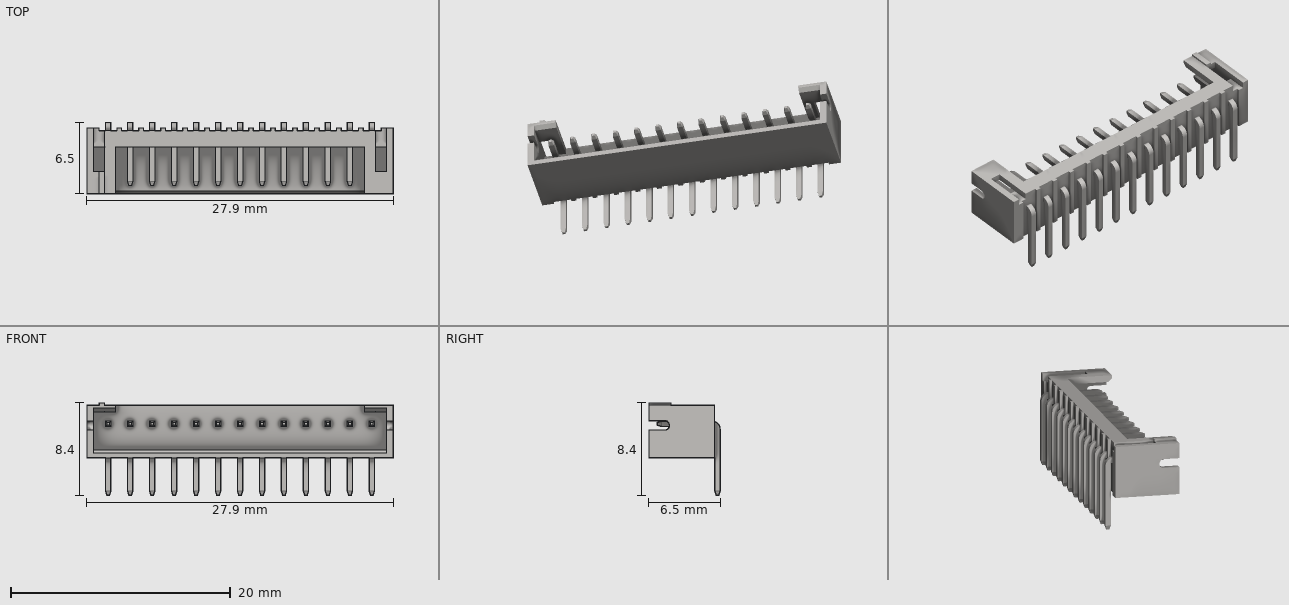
import cadquery as cq


LENGTH = 27.9
DEPTH = 6.0
HEIGHT = 4.8
END_WALL = 0.6
TOP_WALL = 0.6
BOTTOM_WALL = 0.7
BACK_WALL = 1.75
MOUTH_CHAMFER_TOP = 0.33
MOUTH_CHAMFER_BOTTOM = 0.25

WINDOW_MARGIN = 2.62

TOP_SLOT_WIDTH = 1.0
TOP_SLOT_FRONT = 2.05

RIB_WIDTH = 0.5
RIB_HEIGHT = 0.2

NOTCH_HEIGHT = 0.85
NOTCH_DEPTH = 1.87
NOTCH_TOP_DROP = 1.42

STANDOFF_PROJECTION = 0.25
STANDOFF_WIDTH = 0.45
END_STANDOFF = 1.12

PIN_COUNT = 13
PIN_ROW_SPAN = 24.0
PIN_SIZE = 0.5
PIN_DROP = 1.7
PIN_TIP_SETBACK = 0.75
TAIL_LENGTH = 3.4
TIP_LENGTH = 0.4
TIP_END_SIZE = 0.25
BEND_RADIUS = 0.75

PIN_PITCH = PIN_ROW_SPAN / (PIN_COUNT - 1)
PIN_XS = [i * PIN_PITCH - PIN_ROW_SPAN / 2 for i in range(PIN_COUNT)]
CAVITY_BACK = DEPTH - BACK_WALL
CAVITY_TOP = HEIGHT - TOP_WALL
INNER_HALF = LENGTH / 2 - END_WALL


def block(x0, x1, y0, y1, z0, z1):
    """Box between two opposite corners."""
    return cq.Workplane("XY").box(x1 - x0, y1 - y0, z1 - z0, centered=False).translate((x0, y0, z0))


def cavity():
    """Mating cavity, flared at the mouth along its top and bottom edges."""
    profile = [
        (0, BOTTOM_WALL - MOUTH_CHAMFER_BOTTOM),
        (MOUTH_CHAMFER_BOTTOM, BOTTOM_WALL),
        (CAVITY_BACK, BOTTOM_WALL),
        (CAVITY_BACK, CAVITY_TOP),
        (MOUTH_CHAMFER_TOP, CAVITY_TOP),
        (0, CAVITY_TOP + MOUTH_CHAMFER_TOP),
    ]
    return cq.Workplane("YZ").polyline(profile).close().extrude(INNER_HALF, both=True)


def top_openings():
    """Central window plus the two slots, which run out through the rear face."""
    window_half = LENGTH / 2 - WINDOW_MARGIN
    cutter = block(-window_half, window_half, 0, CAVITY_BACK, CAVITY_TOP, HEIGHT)
    for x in (-INNER_HALF, INNER_HALF - TOP_SLOT_WIDTH):
        cutter = cutter.union(block(x, x + TOP_SLOT_WIDTH, TOP_SLOT_FRONT, DEPTH, CAVITY_TOP, HEIGHT))
    return cutter


def end_notches():
    """Round-ended notch through both end walls."""
    radius = NOTCH_HEIGHT / 2
    top = HEIGHT - NOTCH_TOP_DROP
    bottom = top - NOTCH_HEIGHT
    straight = NOTCH_DEPTH - radius
    return (
        cq.Workplane("YZ")
        .moveTo(0, bottom)
        .lineTo(straight, bottom)
        .threePointArc((NOTCH_DEPTH, bottom + radius), (straight, top))
        .lineTo(0, top)
        .close()
        .extrude(LENGTH / 2, both=True)
    )


def rear_relief():
    """Full-height relief of the rear face, leaving a standoff between each pair of pins."""
    half = LENGTH / 2 - END_STANDOFF
    relief_front = DEPTH - STANDOFF_PROJECTION
    cutter = block(-half, half, relief_front, DEPTH, 0, HEIGHT)
    for pin_x in PIN_XS[:-1]:
        x = pin_x + PIN_PITCH / 2 - STANDOFF_WIDTH / 2
        cutter = cutter.cut(block(x, x + STANDOFF_WIDTH, relief_front, DEPTH, 0, HEIGHT))
    return cutter


def polarity_rib():
    """Low rib whose inner side lines up with the inner side of the left slot."""
    inner_x = TOP_SLOT_WIDTH - INNER_HALF
    return block(inner_x - RIB_WIDTH, inner_x, 0, TOP_SLOT_FRONT, HEIGHT, HEIGHT + RIB_HEIGHT)


def tapered_tip(plane):
    """Square tip narrowing along the normal of the given plane."""
    return (
        cq.Workplane(plane)
        .rect(PIN_SIZE, PIN_SIZE)
        .workplane(offset=TIP_LENGTH)
        .rect(TIP_END_SIZE, TIP_END_SIZE)
        .loft(ruled=True)
    )


def pin():
    """One bent pin centred on X = 0: contact toward -Y, tail downward behind the housing."""
    half = PIN_SIZE / 2
    axis_z = HEIGHT - PIN_DROP
    contact_end = PIN_TIP_SETBACK + TIP_LENGTH
    tail_end = TIP_LENGTH - TAIL_LENGTH
    tail_back = DEPTH + PIN_SIZE
    bar = (
        cq.Workplane("YZ")
        .moveTo(contact_end, axis_z - half)
        .lineTo(DEPTH, axis_z - half)
        .lineTo(DEPTH, tail_end)
        .lineTo(tail_back, tail_end)
        .lineTo(tail_back, axis_z + half - BEND_RADIUS)
        .tangentArcPoint((tail_back - BEND_RADIUS, axis_z + half), relative=False)
        .lineTo(contact_end, axis_z + half)
        .close()
        .extrude(half, both=True)
    )
    contact_tip = tapered_tip(cq.Plane((0, contact_end, axis_z), xDir=(1, 0, 0), normal=(0, -1, 0)))
    tail_tip = tapered_tip(cq.Plane((0, DEPTH + half, tail_end), xDir=(1, 0, 0), normal=(0, 0, -1)))
    return bar.union(contact_tip).union(tail_tip)


result = block(-LENGTH / 2, LENGTH / 2, 0, DEPTH, 0, HEIGHT)
for cutter in (cavity(), top_openings(), end_notches(), rear_relief()):
    result = result.cut(cutter)
result = result.union(polarity_rib())

single_pin = pin()
for pin_x in PIN_XS:
    result = result.union(single_pin.translate((pin_x, 0, 0)))